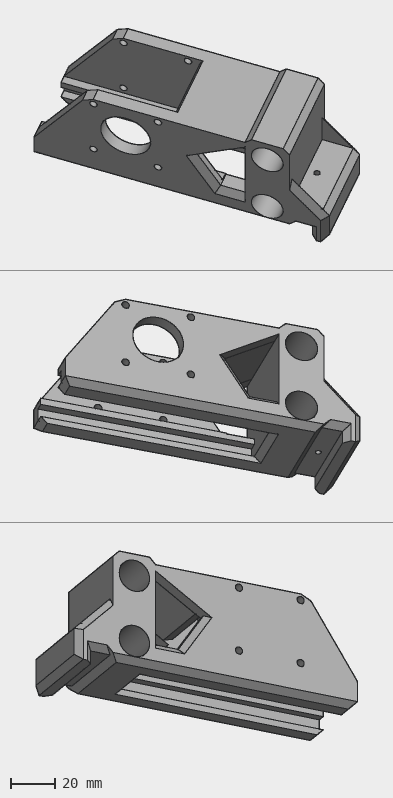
import cadquery as cq

length = 141.0
width = 45.0
height = 57.0
bevel = 3.1
base_z = 3.2
deck_z = 53.8
block_start = 101.5
block_end = 122.9
nose_z = 16.2
nose_corner = (23.4, 51.3)
deck_start = 28.5

wall = 6.2
cavity_width = width - 2 * wall
rail_gap = 24.7
groove_floor = base_z + bevel
groove_top = 12.8

roof_start = 66.8
brace_front = (65.4, 51.5)
brace_low_front = (73.8, 37.9)
brace_low = (78.5, 36.5)

window_top_z = 50.6
window_left = (73.3, 33.3)
window_bottom = (87.0, 12.7)

hook_shoulder_z = 15.9
hook_slope_z = hook_shoulder_z + length - block_end
hook_inner_x = 132.6
recess_end = length - bevel
screw_x = 127.7
screw_diameter = 2.7

motor_x = 44.1
motor_z = 35.2
motor_bore = 24.0
motor_screw_pitch = 31.0
motor_screw_diameter = 3.5
cross_bore = 15.2
cross_bore_x = 112.2
cross_bore_heights = (14.1, 46.2)


def prism(points, thickness):
    """XZ outline extruded symmetrically about the Y = 0 plane."""
    return cq.Workplane("XZ").polyline(points).close().extrude(thickness / 2, both=True)


def cross_cylinder(x, z, diameter):
    """Cylinder along Y running through the whole width."""
    return cq.Workplane("XZ").center(x, z).circle(diameter / 2).extrude(width, both=True)


def box(x0, x1, y_size, z0, z1):
    """Box between two X and two Z limits, centred in Y."""
    block = cq.Workplane("XY").box(x1 - x0, y_size, z1 - z0, centered=(False, True, False))
    return block.translate((x0, 0, z0))


def make_body():
    crown = height - deck_z
    outline = [
        (0, base_z),
        (0, nose_z),
        nose_corner,
        (deck_start, deck_z),
        (block_start, deck_z),
        (block_start + crown, height),
        (block_end - crown, height),
        (block_end, deck_z),
        (block_end, base_z),
    ]
    return prism(outline, width).faces("<Z").chamfer(bevel)


def make_cavity():
    """Open bay between the walls, with a narrower slot between the rails."""
    upper = box(0, block_start, cavity_width, nose_z, height)
    groove = box(0, block_start, cavity_width, groove_floor, groove_top)
    slot = box(0, block_start, rail_gap, 0, nose_z)
    slot_end_bevel = prism(
        [(block_start, base_z), (block_start + bevel, base_z), (block_start, groove_floor)],
        rail_gap,
    )
    return upper.union(groove).union(slot).union(slot_end_bevel)


def make_roof():
    outline = [
        (roof_start, deck_z),
        brace_front,
        brace_low_front,
        brace_low,
        (block_start, window_top_z),
        (block_start, deck_z),
    ]
    return prism(outline, cavity_width)


def make_window():
    """Window through both walls, beveled outside along its two lower edges."""
    reach = 3 * bevel
    window_taper_top = height + reach
    rise = (window_top_z - window_left[1]) / (block_start - window_left[0])
    run = (window_bottom[0] - window_left[0]) / (window_left[1] - window_bottom[1])
    top_left = (window_left[0] - (window_taper_top - window_left[1]) * run, window_taper_top)
    right = block_start + reach
    outline = [top_left, window_bottom, (right, window_bottom[1]), (right, window_taper_top)]
    limit = [
        (window_left[0] - reach, window_left[1] - reach * rise),
        (window_left[0] - reach, 0),
        (block_start, 0),
        (block_start, window_top_z),
    ]
    near_face = cq.Workplane("XZ", origin=(0, -width / 2, 0)).polyline(outline).close()
    near = near_face.extrude(-bevel, taper=45)
    core = cq.Workplane("XZ").polyline(outline).close().offset2D(-bevel).extrude(width / 2, both=True)
    far = near.mirror("XZ")
    return near.union(core).union(far).intersect(prism(limit, width))


def make_hook():
    outline = [
        (block_end, hook_slope_z),
        (length, hook_shoulder_z),
        (length, 0),
        (hook_inner_x, 0),
        (hook_inner_x, groove_floor),
        (block_end, groove_floor),
    ]
    hook = prism(outline, width)
    outer_middles = [
        ((block_end + length) / 2, (hook_slope_z + hook_shoulder_z) / 2),
        (length, hook_shoulder_z / 2),
    ]
    inner_middles = [
        ((block_end + hook_inner_x) / 2, groove_floor),
        (hook_inner_x, groove_floor / 2),
    ]
    for middles in (outer_middles, inner_middles):
        selected = []
        for x, z in middles:
            for y in (-width / 2, width / 2):
                selected += hook.edges(cq.selectors.NearestToPointSelector((x, y, z))).vals()
        hook = hook.newObject(selected).chamfer(bevel)
    hook = hook.faces("<Z").edges(">X").chamfer(bevel)
    gusset = prism(
        [
            (block_end, groove_floor),
            (block_end + bevel, groove_floor + bevel),
            (block_end, groove_floor + bevel),
        ],
        width,
    )
    recess_floor = hook_shoulder_z + length - recess_end
    recess = box(block_end, recess_end, width - 2 * bevel, recess_floor, height)
    screw = cq.Workplane("XY").center(screw_x, 0).circle(screw_diameter / 2).extrude(height)
    return hook.union(gusset).cut(recess).cut(screw)


result = make_body().cut(make_cavity()).cut(make_window()).union(make_roof()).union(make_hook())

motor_hole = cq.Workplane("XZ").center(motor_x, motor_z).circle(motor_bore / 2).extrude(width)
result = result.cut(motor_hole)
for x_side in (-0.5, 0.5):
    for z_side in (-0.5, 0.5):
        motor_screw_x = motor_x + x_side * motor_screw_pitch
        motor_screw_z = motor_z + z_side * motor_screw_pitch
        result = result.cut(cross_cylinder(motor_screw_x, motor_screw_z, motor_screw_diameter))

for bore_z in cross_bore_heights:
    result = result.cut(cross_cylinder(cross_bore_x, bore_z, cross_bore))